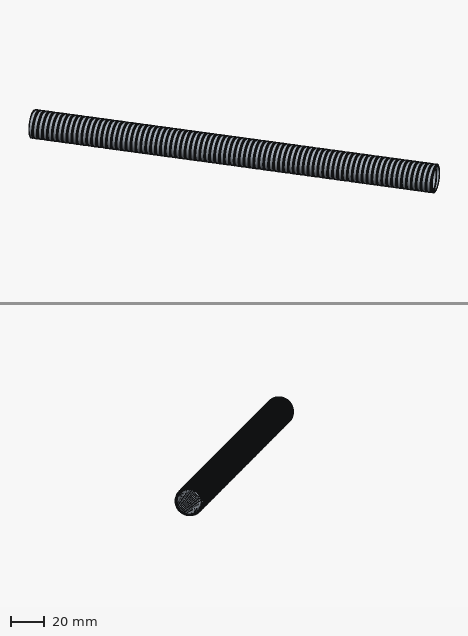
import cadquery as cq
import math

length = 250.0
outer_diameter = 17.2
bore_diameter = 15.0
turns = 82

groove_width = 1.12
groove_depth = 0.58
flank_angle = 30.0
groove_phase = 0.06

bevel_height = 0.58

spare_turns = 2
trim_clearance = 2.5

pitch = length / turns
outer_radius = outer_diameter / 2
bore_radius = bore_diameter / 2
root_radius = outer_radius - groove_depth
core_radius = bore_radius / 2
flank_slope = math.tan(math.radians(flank_angle))


def one_pitch_outline():
    """Corners (radius, axial place) of one groove and the crest after it."""
    half_mouth = groove_width / 2
    half_root = half_mouth - groove_depth * flank_slope
    return [
        (outer_radius, -half_mouth),
        (root_radius, -half_root),
        (root_radius, half_root),
        (outer_radius, half_mouth),
        (outer_radius, pitch - half_mouth),
    ]


def helix_turn(radius, start):
    """One left-hand turn about Z that begins in the XZ plane."""
    turn = cq.Wire.makeHelix(pitch, pitch, radius, lefthand=True)
    return turn.translate(cq.Vector(0, 0, start))


def helical_strip(corner, next_corner, shift):
    """Face swept by the line between two outline corners over one turn."""
    edges = [helix_turn(radius, place + shift) for radius, place in (corner, next_corner)]
    return cq.Face.makeRuledSurface(*edges)


def radial_face(corners, shift):
    """Flat face in the XZ plane that closes the helical body where it starts or stops."""
    points = [cq.Vector(radius, 0, place + shift) for radius, place in corners]
    return cq.Face.makeFromWires(cq.Wire.makePolygon(points, close=True))


def threaded_body():
    """Grooved body about Z, built turn by turn from helical strips around a hollow core."""
    outline = one_pitch_outline()
    core_start = (core_radius, outline[0][1])
    core_end = (core_radius, outline[-1][1])
    section = [core_start] + outline + [core_end]
    body_turns = turns + 2 * spare_turns
    faces = []
    for turn in range(body_turns):
        for corner, next_corner in zip(outline, outline[1:]):
            faces.append(helical_strip(corner, next_corner, turn * pitch))
        faces.append(helical_strip(core_start, core_end, turn * pitch))
    faces.append(helical_strip(core_start, outline[0], 0))
    faces.append(helical_strip(core_end, outline[-1], (body_turns - 1) * pitch))
    faces.append(radial_face(section, 0))
    faces.append(radial_face(section, body_turns * pitch))
    return cq.Workplane(cq.Solid.makeSolid(cq.Shell.makeShell(faces)))


def tube_blank():
    """Tube with the final bore, flat ends and end bevels, oversize on the outside."""
    end_radius = outer_radius - bevel_height
    blank_radius = outer_radius + trim_clearance
    bevel_length = (blank_radius - end_radius) * flank_slope
    return (
        cq.Workplane("XY")
        .moveTo(0, bore_radius)
        .lineTo(0, end_radius)
        .lineTo(bevel_length, blank_radius)
        .lineTo(length - bevel_length, blank_radius)
        .lineTo(length, end_radius)
        .lineTo(length, bore_radius)
        .close()
        .revolve(360, (0, 0, 0), (1, 0, 0))
    )


body_along_x = (
    threaded_body()
    .translate((0, 0, (groove_phase - spare_turns) * pitch))
    .rotate((0, 0, 0), (0, 0, 1), 180)
    .rotate((0, 0, 0), (0, 1, 0), 90)
)
result = body_along_x.intersect(tube_blank(), clean=False).solids()